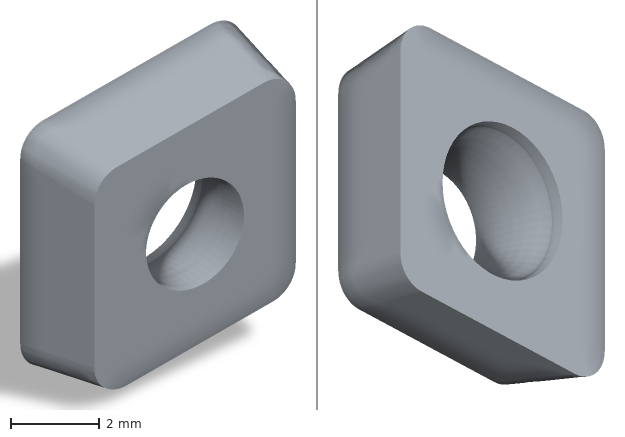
import cadquery as cq
import math

thickness = 2.38
inscribed_circle = 6.35
acute_angle = 80.0
clearance_angle = 7.0
corner_radius = 0.794

bore_radius = 1.4
seat_radius = 1.815
mouth_radius = 1.865
mouth_depth = 0.3
seat_depth = 1.45


def rhombus_points(half_width):
    """Corners, in the YZ plane, of a rhombus with vertical sides at Y = +/- half_width."""
    tilt = math.radians(90.0 - acute_angle)
    half_height = half_width / math.cos(tilt)
    rise = half_width * math.tan(tilt)
    return [
        (half_width, half_height + rise),
        (half_width, rise - half_height),
        (-half_width, -half_height - rise),
        (-half_width, half_height - rise),
    ]


def make_body():
    """Rhombus whose four sides lean inwards by the clearance angle, with rounded corners."""
    face_half_width = inscribed_circle / 2
    back_half_width = face_half_width - thickness * math.tan(math.radians(clearance_angle))
    body = (
        cq.Workplane("YZ")
        .polyline(rhombus_points(face_half_width))
        .close()
        .workplane(offset=thickness)
        .polyline(rhombus_points(back_half_width))
        .close()
        .loft(ruled=True, combine=True)
    )
    side_edges = body.edges("not(#X)")
    return side_edges.fillet(corner_radius)


def make_hole():
    """Half profile of the screw hole in the XY plane, revolved about the X axis."""
    flare = seat_radius - bore_radius
    seat_arc_radius = (seat_depth**2 + flare**2) / (2 * flare)
    half_sweep = math.asin(seat_depth / seat_arc_radius) / 2
    bore_start = mouth_depth + seat_depth
    arc_middle = (
        bore_start - seat_arc_radius * math.sin(half_sweep),
        bore_radius + seat_arc_radius * (1 - math.cos(half_sweep)),
    )
    return (
        cq.Workplane("XY")
        .moveTo(0, 0)
        .lineTo(0, mouth_radius)
        .lineTo(mouth_depth, seat_radius)
        .threePointArc(arc_middle, (bore_start, bore_radius))
        .lineTo(thickness, bore_radius)
        .lineTo(thickness, 0)
        .close()
        .revolve(360, (0, 0, 0), (1, 0, 0))
    )


result = make_body().cut(make_hole())